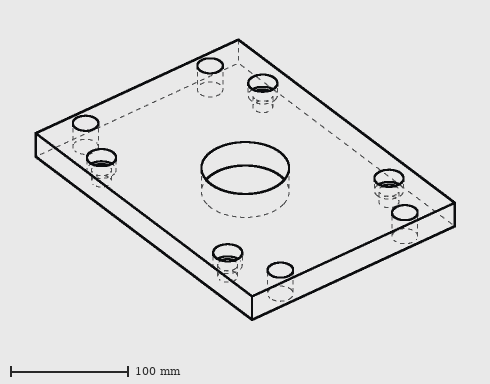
import cadquery as cq

length = 300.0
width = 220.0
thickness = 25.0

bore_diameter = 75.0

mount_hole_diameter = 22.0
mount_spacing_x = 270.0
mount_spacing_y = 135.0

screw_spacing = 175.0
screw_hole_diameter = 17.0
counterbore_diameter = 25.0
counterbore_depth = 13.0

plate = cq.Workplane("XY").box(length, width, thickness, centered=(True, True, False))

plate = plate.faces(">Z").workplane(origin=(0, 0, thickness)).hole(bore_diameter)

plate = (
    plate.faces(">Z").workplane(origin=(0, 0, thickness))
    .rect(mount_spacing_x, mount_spacing_y, forConstruction=True)
    .vertices()
    .hole(mount_hole_diameter)
)

result = (
    plate.faces(">Z").workplane(origin=(0, 0, thickness))
    .rect(screw_spacing, screw_spacing, forConstruction=True)
    .vertices()
    .cboreHole(screw_hole_diameter, counterbore_diameter, counterbore_depth)
)